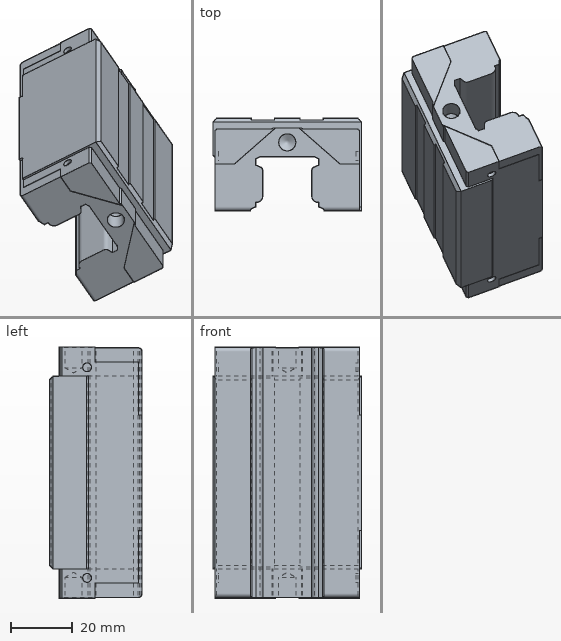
import cadquery as cq
import math

length = 81.2
width = 48.0
height = 30.0

body_half_width = 23.4
body_top = 26.5
body_corner_chamfer = 0.6
ridge_half_width = 4.55
ridge_height = 0.4
end_round = 1.3

pad_rise = 0.25
pad_bottom = 15.2
pad_slope_outer = 17.05
pad_slope_inner = 3.7

block_length = 62.4
block_bottom = 17.3
block_chamfer = 1.2
block_lower_chamfer = 0.65
groove_center = 7.9
groove_width = 7.4
groove_depth = 0.6

strip_height = 1.2
strip_end = 18.7
cover_thickness = 4.9
cover_inset = 0.1

lip_mouth = 11.85
lip_mouth_height = 0.4
lip_shelf = 11.4
lip_shelf_height = 0.8
pocket_half_width = 10.15
lip_top = 1.3
shelf_half_width = 9.6
shelf_height = 2.8
throat_half_width = 7.9
throat_bottom = 4.9
throat_top = 13.9
throat_round = 1.5
track_bottom = 14.9
track_top = 16.8
floor_half_width = 8.85
channel_floor = 17.45

end_port_radius = 2.8
end_port_height = 22.2
end_port_depth = 6.5
end_port_point_angle = 118.0
side_port_radius = 1.42
side_port_height = 17.8
side_port_inset = 6.6
side_port_depth = 1.2

plate_half_length = length / 2 - pad_rise
block_half_width = width / 2
block_half_length = block_length / 2
ridge_top = body_top + ridge_height
SIDES = (-1, 1)


def box(x_range, y_range, z_range):
    """Axis-aligned box given by its low and high limits."""
    sizes = [high - low for low, high in (x_range, y_range, z_range)]
    corner = (x_range[0], y_range[0], z_range[0])
    return cq.Workplane("XY").box(*sizes, centered=False).translate(corner)


def extruded_outline(points):
    """Prism over the full length along Z, centered on the XY plane."""
    return cq.Workplane("XY").polyline(points).close().extrude(length / 2, both=True)


def mirrored_ends(solid):
    return solid.union(solid.mirror("XY"))


def mirrored_sides(solid):
    return solid.union(solid.mirror("YZ"))


def body_outline():
    """Outer section of the body: a chamfered rectangle with a low ridge on top."""
    rectangle = (
        box((-body_half_width, body_half_width), (0, body_top), (-length / 2, length / 2))
        .edges(">Y and |Z")
        .chamfer(body_corner_chamfer)
    )
    half_ridge = extruded_outline(
        [
            (0, pad_bottom),
            (ridge_half_width + ridge_height, pad_bottom),
            (ridge_half_width + ridge_height, body_top),
            (ridge_half_width, ridge_top),
            (0, ridge_top),
        ]
    )
    return rectangle.union(mirrored_sides(half_ridge))


def plate_envelope():
    """Full-width slab ending at the end plates, rounded along its -Y edges."""
    return (
        box(
            (-block_half_width, block_half_width),
            (0, height),
            (-plate_half_length, plate_half_length),
        )
        .edges("<Y and |X")
        .fillet(end_round)
    )


def pad_envelope():
    """Wedge columns on both sides that stand above the end plates."""
    wedge = extruded_outline(
        [
            (body_half_width, pad_bottom),
            (pad_slope_outer, pad_bottom),
            (pad_slope_inner, ridge_top),
            (body_half_width, ridge_top),
        ]
    )
    return mirrored_sides(wedge)


def mounting_block():
    """Wide block with chamfered rim, two shallow grooves and an undercut lower side edge."""
    block = (
        box(
            (-block_half_width, block_half_width),
            (block_bottom, height),
            (-block_half_length, block_half_length),
        )
        .faces(">Y")
        .edges()
        .chamfer(block_chamfer)
        .edges("<Y and |Z")
        .chamfer(block_lower_chamfer)
    )
    for side in SIDES:
        x = side * groove_center
        block = block.cut(
            box(
                (x - groove_width / 2, x + groove_width / 2),
                (height - groove_depth, height),
                (-block_half_length, block_half_length),
            )
        )
    return block


def datum_side():
    """Flat reference face on +X, reaching the -Y side between the end strips."""
    x_range = (0, block_half_width)
    y_top = block_bottom + block_lower_chamfer
    long_part = box(x_range, (strip_height, y_top), (-block_half_length, block_half_length))
    return long_part.union(box(x_range, (0, y_top), (-strip_end, strip_end)))


def cover_relief():
    """Thin cut that sets the end covers and their strips slightly behind the body sides."""
    x_range = (body_half_width - cover_inset, body_half_width)
    cover = box(x_range, (0, pad_bottom), (length / 2 - cover_thickness, length / 2))
    strip = box(x_range, (0, strip_height), (strip_end, length / 2))
    return mirrored_sides(mirrored_ends(cover.union(strip)))


def rail_channel():
    """Channel with stepped lips, a throat with rounded edges and a wider track under the floor."""
    half = (
        cq.Workplane("XY")
        .moveTo(0, channel_floor)
        .lineTo(floor_half_width, channel_floor)
        .lineTo(pocket_half_width, track_top)
        .lineTo(pocket_half_width, track_bottom)
        .lineTo(throat_half_width, throat_top)
        .lineTo(throat_half_width, throat_bottom)
        .tangentArcPoint((shelf_half_width, shelf_height), relative=False)
        .lineTo(pocket_half_width, shelf_height)
        .lineTo(pocket_half_width, lip_top)
        .lineTo(lip_shelf, lip_shelf_height)
        .lineTo(lip_mouth, lip_mouth_height)
        .lineTo(lip_mouth, 0)
        .lineTo(0, 0)
        .close()
        .extrude(length / 2, both=True)
    )
    corner = cq.selectors.NearestToPointSelector((throat_half_width, throat_top, 0))
    half = half.edges("|Z").edges(corner).fillet(throat_round)
    return mirrored_sides(half)


def end_ports():
    """Drilled hole with a conical bottom in each end plate."""
    point_depth = end_port_radius / math.tan(math.radians(end_port_point_angle / 2))
    bottom = plate_half_length - end_port_depth
    port = (
        cq.Workplane("XZ")
        .moveTo(0, bottom - point_depth)
        .lineTo(end_port_radius, bottom)
        .lineTo(end_port_radius, length / 2)
        .lineTo(0, length / 2)
        .close()
        .revolve(360, (0, 0), (0, 1))
        .translate((0, end_port_height, 0))
    )
    return mirrored_ends(port)


def side_ports():
    """Shallow round ports near both ends of each side."""
    port = (
        cq.Workplane("YZ")
        .workplane(offset=body_half_width - side_port_depth)
        .center(side_port_height, length / 2 - side_port_inset)
        .circle(side_port_radius)
        .extrude(side_port_depth)
    )
    return mirrored_sides(mirrored_ends(port))


result = (
    body_outline()
    .intersect(plate_envelope().union(pad_envelope()))
    .cut(cover_relief())
    .union(mounting_block())
    .union(datum_side())
    .cut(rail_channel())
    .cut(end_ports())
    .cut(side_ports())
)